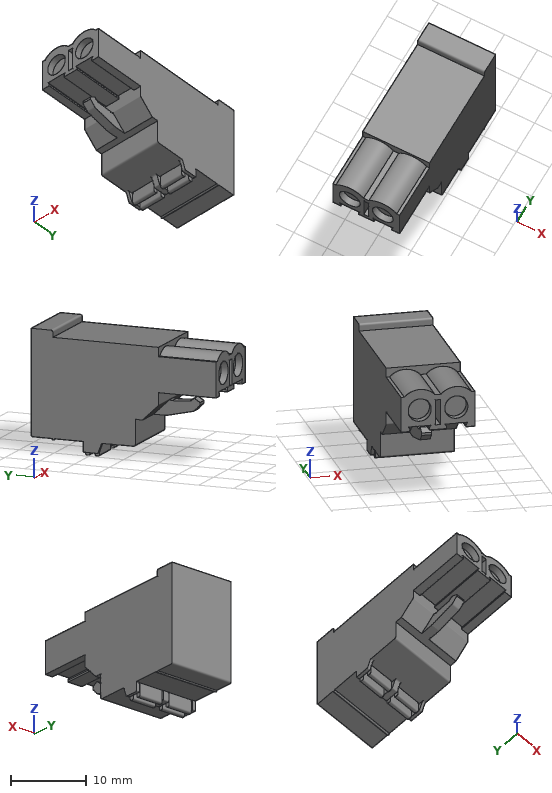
import cadquery as cq


width = 10.1
length = 26.6
height = 16.7
pole_pitch = 5.0
pole_positions = (-pole_pitch / 2, pole_pitch / 2)

underside_z = 1.95
deck_z = 15.75
flange_thickness = 3.15
body_front_y = 8.27
lower_front_y = 11.6
ledge_z = 5.65
slope_foot_y = 10.55
slope_top_z = 7.82
edge_radius = 0.3
slope_edge_radius = 0.19

nose_bottom_z = 9.58
nose_flat_z = 14.47
bore_z = 12.48
bore_radius = 1.57
bore_depth = 1.0
crown_radius = 2.9
slot_width = 0.72
slot_bottom_z = 10.21
slot_top_z = 13.73

groove_top_z = slot_bottom_z
groove_waist_z = 9.87
groove_top_width = 3.03
groove_mouth_width = 2.65

latch_arm_root = (7.9, 7.71)
latch_hook_foot = (5.32, 7.87)
latch_hook_peak = (4.75, 8.38)
latch_tip_top = (3.85, 7.82)
latch_tip_bottom = (3.85, 7.47)
latch_heel = (4.75, 6.55)
latch_underside_front_y = 8.65
latch_width = 1.35
latch_center_x = -0.6
latch_peak_radius = 0.25
latch_heel_radius = 0.4

bead_y = 23.4
bead_radius = 0.19
rib_rear_y = 19.13
rib_front_y = 16.45
rib_tip_front_y = 17.0
rib_tip_z = 0.5
rib_tip_radius = 0.15
rib_root_radius = 0.27
rib_root_overlap = 0.53
outer_rib_width = 0.48
middle_rib_width = 0.93
contact_width = 3.8
contact_thickness = 0.66
contact_tip_radius = 0.25
contact_positions = (17.35, 18.73)


def extrude_across(points, thickness, center_x=0.0):
    """Extrude a closed (Y, Z) outline along X, centred on center_x."""
    start = cq.Workplane("YZ", origin=(center_x - thickness / 2, 0, 0))
    return start.polyline(points).close().extrude(thickness)


def box_between(x_center, x_size, y_start, y_end, z_start, z_end):
    """Box centred in X that spans the given Y and Z ranges."""
    box = cq.Workplane("XY").box(x_size, y_end - y_start, z_end - z_start)
    return box.translate((x_center, (y_start + y_end) / 2, (z_start + z_end) / 2))


def round_x_edge(solid, y, z, radius):
    """Fillet the edge that runs along X through the point (y, z)."""
    nearest = cq.selectors.NearestToPointSelector((solid.val().Center().x, y, z))
    return solid.edges(nearest).fillet(radius)


def make_housing():
    flange_y = length - flange_thickness
    outline = [
        (length, height),
        (flange_y, height),
        (flange_y, deck_z),
        (body_front_y, deck_z),
        (body_front_y, slope_top_z),
        (slope_foot_y, ledge_z),
        (lower_front_y, ledge_z),
        (lower_front_y, underside_z),
        (length, underside_z),
    ]
    housing = extrude_across(outline, width)
    housing = round_x_edge(housing, flange_y, height, edge_radius)
    housing = round_x_edge(housing, lower_front_y, underside_z, edge_radius)
    housing = round_x_edge(housing, length, underside_z, edge_radius)
    return round_x_edge(housing, body_front_y, slope_top_z, slope_edge_radius)


def make_nose():
    nose = box_between(0, width, 0, body_front_y, nose_bottom_z, nose_flat_z)
    for x in pole_positions:
        barrel = cq.Workplane("XZ").center(x, bore_z).circle(crown_radius).extrude(-body_front_y)
        upper_half = box_between(x, pole_pitch, 0, body_front_y, bore_z, bore_z + crown_radius)
        nose = nose.union(barrel.intersect(upper_half))
    for x in pole_positions:
        bore = cq.Workplane("XZ").center(x, bore_z).circle(bore_radius).extrude(-bore_depth)
        nose = nose.cut(bore).cut(make_groove(x))
    slot = box_between(0, slot_width, 0, body_front_y, slot_bottom_z, slot_top_z)
    return nose.cut(slot)


def make_groove(x):
    half_top = groove_top_width / 2
    half_mouth = groove_mouth_width / 2
    outline = [
        (x - half_mouth, nose_bottom_z),
        (x - half_mouth, groove_waist_z),
        (x - half_top, groove_top_z),
        (x + half_top, groove_top_z),
        (x + half_mouth, groove_waist_z),
        (x + half_mouth, nose_bottom_z),
    ]
    return cq.Workplane("XZ").polyline(outline).close().extrude(-body_front_y)


def make_latch():
    outline = [
        (slope_foot_y, ledge_z),
        (body_front_y, slope_top_z),
        latch_arm_root,
        latch_hook_foot,
        latch_hook_peak,
        latch_tip_top,
        latch_tip_bottom,
        latch_heel,
        (latch_underside_front_y, ledge_z),
    ]
    latch = extrude_across(outline, latch_width, latch_center_x)
    latch = round_x_edge(latch, *latch_hook_peak, latch_peak_radius)
    return round_x_edge(latch, *latch_heel, latch_heel_radius)


def make_rib(center_x, rib_width):
    embedded_z = underside_z + rib_root_overlap
    root_front_y = rib_front_y - rib_root_overlap
    outline = [
        (rib_rear_y, embedded_z),
        (rib_rear_y, rib_tip_z),
        (rib_tip_front_y, rib_tip_z),
        (rib_front_y, underside_z),
        (root_front_y, underside_z),
        (root_front_y, embedded_z),
    ]
    rib = extrude_across(outline, rib_width, center_x)
    rib = round_x_edge(rib, rib_front_y, underside_z, rib_root_radius)
    rib = round_x_edge(rib, rib_tip_front_y, rib_tip_z, rib_tip_radius)
    return round_x_edge(rib, rib_rear_y, rib_tip_z, rib_tip_radius)


def make_contact(x, y):
    half = contact_thickness / 2
    foot = box_between(x, contact_width, y - half, y + half, 0, underside_z)
    return foot.faces("<Z").edges("|X").fillet(contact_tip_radius)


def make_bead():
    start = cq.Workplane("YZ", origin=(-width / 2, bead_y, underside_z))
    return start.circle(bead_radius).extrude(width)


result = make_housing().union(make_nose()).union(make_latch()).union(make_bead())

outer_rib_x = (width - outer_rib_width) / 2
result = result.union(make_rib(0, middle_rib_width))
for side in (-1, 1):
    result = result.union(make_rib(side * outer_rib_x, outer_rib_width))

for pole_x in pole_positions:
    for contact_y in contact_positions:
        result = result.union(make_contact(pole_x, contact_y))

result = result.clean()